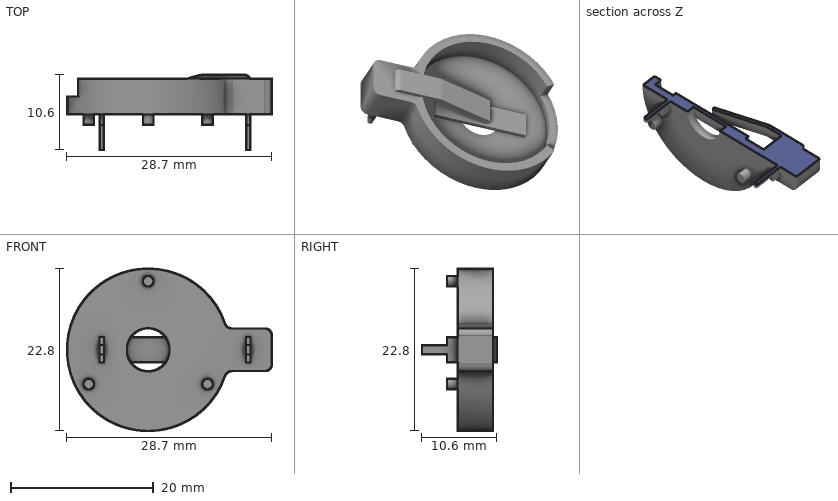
import cadquery as cq
import math


disc_radius = 11.375
housing_depth = 5.0
tab_end_x = 17.325
tab_width = 6.0
tab_radius = 1.0

pocket_radius = 10.1
floor_thickness = 1.25
hole_radius = 3.0
opening_floor_y = 2.5
opening_half_angle = math.radians(30)

peg_radius = 0.75
peg_length = 1.5
peg_circle_radius = 9.6
peg_angles = (90, 210, 330)

sheet_thickness = 0.6
contact_width = 3.55
shoulder_length = peg_length
pin_width = 1.3
pin_length = 5.0
floor_pin_x = -6.5
spring_pin_x = 14.0

spring_top_y = 5.55
spring_slope = math.radians(16)
spring_bend_x = 7.4
spring_bend_radius = 2.4
spring_corner_radius = 0.9
spring_tip_y = 3.18


def box(x_range, y_range, width):
    """Block between two X and two Y limits, centred on Z = 0."""
    (x0, x1), (y0, y1) = x_range, y_range
    return cq.Workplane("XY").box(x1 - x0, y1 - y0, width).translate(((x0 + x1) / 2, (y0 + y1) / 2, 0))


def cylinder(radius, y0, y1, x=0, z=0):
    """Cylinder along Y between two Y limits."""
    return cq.Workplane("XZ", origin=(0, y0, 0)).center(x, z).circle(radius).extrude(y0 - y1)


def make_housing_blank():
    """Disc with a round-cornered side tab, blended where the tab leaves the disc."""
    half_width = tab_width / 2
    blend_x = math.sqrt((disc_radius + tab_radius) ** 2 - (half_width + tab_radius) ** 2)
    join_x = math.sqrt(disc_radius**2 - half_width**2)
    tab = box((0, tab_end_x), (0, housing_depth), tab_width)
    tab = tab.edges("|Y and >X").fillet(tab_radius)
    blank = cylinder(disc_radius, 0, housing_depth).union(tab)
    corner_reach = (blend_x - join_x) / 2
    corners = cq.selectors.BoxSelector(
        (join_x - corner_reach, -housing_depth, -tab_width),
        (join_x + corner_reach, 2 * housing_depth, tab_width),
    )
    return blank.edges("|Y").edges(corners).fillet(tab_radius)


def make_opening():
    """Wedge with radial sides that opens the pocket wall toward -X."""
    reach = 2 * disc_radius
    side_z = reach * math.tan(opening_half_angle)
    return (
        cq.Workplane("XZ", origin=(0, opening_floor_y, 0))
        .polyline([(0, 0), (-reach, side_z), (-reach, -side_z)])
        .close()
        .extrude(opening_floor_y - housing_depth)
    )


def make_housing():
    housing = make_housing_blank()
    housing = housing.cut(cylinder(pocket_radius, floor_thickness, housing_depth))
    housing = housing.cut(cylinder(hole_radius, 0, floor_thickness))
    housing = housing.cut(make_opening())
    for angle in peg_angles:
        peg_x = peg_circle_radius * math.cos(math.radians(angle))
        peg_z = peg_circle_radius * math.sin(math.radians(angle))
        housing = housing.union(cylinder(peg_radius, -peg_length, 0, peg_x, peg_z))
    return housing


def make_pin(x, top_y):
    """Solder pin: a wide blade through the housing with a narrow end."""
    x_range = (x - sheet_thickness / 2, x + sheet_thickness / 2)
    blade = box(x_range, (-shoulder_length, top_y), contact_width)
    return blade.union(box(x_range, (-pin_length, 0), pin_width))


def make_floor_contact():
    """Flat strip on the pocket floor, bridging the central hole."""
    strip_top_y = floor_thickness + sheet_thickness
    strip_end_x = -floor_pin_x + sheet_thickness / 2
    strip = box((-strip_end_x, strip_end_x), (floor_thickness, strip_top_y), contact_width)
    return strip.union(make_pin(floor_pin_x, strip_top_y))


def make_spring_contact():
    """Strip over the tab that bends down into the pocket on the -X side."""
    outer_x = spring_pin_x + sheet_thickness / 2
    pin_top_y = spring_top_y - spring_corner_radius
    bottom_y = spring_top_y - sheet_thickness
    tip_x = spring_bend_x - (spring_top_y - spring_tip_y) / math.tan(spring_slope)
    tip_bottom_x = tip_x + sheet_thickness * math.sin(spring_slope)
    tip_bottom_y = spring_tip_y - sheet_thickness * math.cos(spring_slope)
    inner_bend_x = spring_bend_x + sheet_thickness * math.tan(spring_slope / 2)

    bend_tangent = spring_bend_radius * math.tan(spring_slope / 2)
    bend_start = (
        spring_bend_x - bend_tangent * math.cos(spring_slope),
        spring_top_y - bend_tangent * math.sin(spring_slope),
    )
    bend_end = (spring_bend_x + bend_tangent, spring_top_y)
    corner_start = (outer_x - spring_corner_radius, spring_top_y)
    strip = (
        cq.Workplane("XY", origin=(0, 0, -contact_width / 2))
        .moveTo(tip_x, spring_tip_y)
        .lineTo(*bend_start)
        .tangentArcPoint(bend_end, relative=False)
        .lineTo(*corner_start)
        .tangentArcPoint((outer_x, pin_top_y), relative=False)
        .lineTo(outer_x - sheet_thickness, pin_top_y)
        .lineTo(outer_x - sheet_thickness, bottom_y)
        .lineTo(inner_bend_x, bottom_y)
        .lineTo(tip_bottom_x, tip_bottom_y)
        .close()
        .extrude(contact_width)
    )
    return strip.union(make_pin(spring_pin_x, pin_top_y))


result = make_housing().union(make_floor_contact()).union(make_spring_contact())